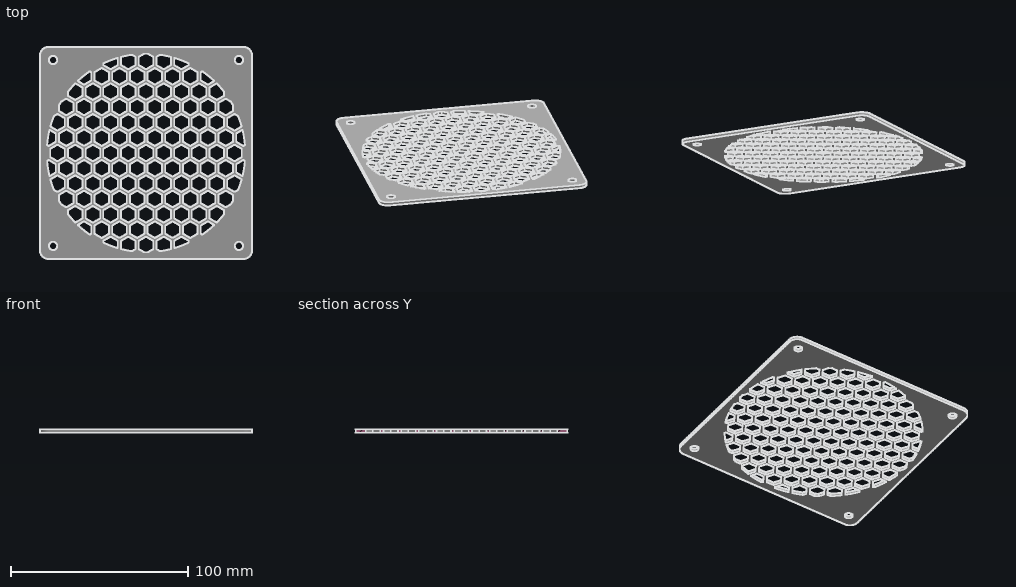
import cadquery as cq
import math

plate_side = 120.0
plate_thickness = 2.0
corner_radius = 5.0

mount_hole_diameter = 4.5
mount_hole_spacing = 105.0

grille_diameter = 112.0
hex_across_flats = 8.0
cells_per_side = 12

grille_radius = grille_diameter / 2
hex_across_corners = hex_across_flats / math.cos(math.pi / 6)
column_pitch = plate_side / cells_per_side
row_pitch = column_pitch * math.sin(math.pi / 3)


def make_plate():
    """Square plate with rounded corners and four mounting holes."""
    return (
        cq.Workplane("XY")
        .rect(plate_side, plate_side)
        .extrude(plate_thickness)
        .edges("|Z")
        .fillet(corner_radius)
        .faces(">Z")
        .workplane()
        .rect(mount_hole_spacing, mount_hole_spacing, forConstruction=True)
        .vertices()
        .hole(mount_hole_diameter)
    )


def hex_centers():
    """Staggered honeycomb centers that lie inside the grille circle."""
    last_row = math.ceil(grille_radius / row_pitch)
    last_column = math.ceil(grille_radius / column_pitch)
    centers = []
    for row in range(-last_row, last_row + 1):
        stagger = column_pitch / 2 if row % 2 else 0.0
        for column in range(-last_column, last_column + 1):
            x = column * column_pitch + stagger
            y = row * row_pitch
            if math.hypot(x, y) < grille_radius:
                centers.append((x, y))
    return centers


def make_grille_openings():
    """Hexagonal prisms with corners pointing along Y, trimmed by the grille circle."""
    hexagons = (
        cq.Workplane("XY")
        .transformed(rotate=(0, 0, 90))
        .pushPoints([(y, -x) for x, y in hex_centers()])
        .polygon(6, hex_across_corners)
        .extrude(plate_thickness)
    )
    grille_disc = cq.Workplane("XY").circle(grille_radius).extrude(plate_thickness)
    return hexagons.intersect(grille_disc)


result = make_plate().cut(make_grille_openings())